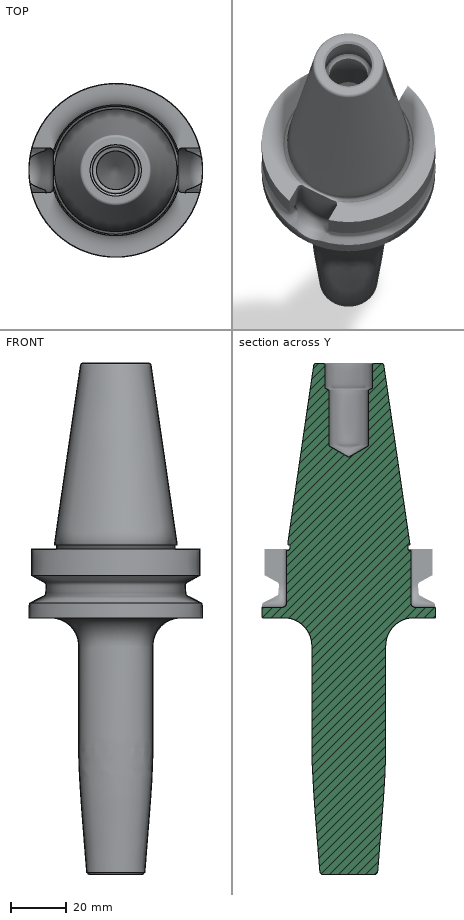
import cadquery as cq
import math


GAUGE_RADIUS = 44.45 / 2
TAPER_LENGTH = 65.4
TAPER_RADIUS_RATE = 7 / 24 / 2
TAPER_END_RADIUS = GAUGE_RADIUS - TAPER_LENGTH * TAPER_RADIUS_RATE
TAPER_END_FILLET = 1.0

RELIEF_RADIUS = 21.5
RELIEF_TOP = -0.6
RELIEF_OUTER_RADIUS = 23.7
RELIEF_DEPTH = 0.5
RELIEF_FILLET = 0.8

FLANGE_RADIUS = 63 / 2
FLANGE_TOP = -2.0
FLANGE_BOTTOM = -27.0
GROOVE_CENTER = -16.6
GROOVE_WIDTH = 10.1
GROOVE_RADIUS = 26.5
GROOVE_FLANK_ANGLE = 30.0
GROOVE_FILLET = 1.0

SLOT_WIDTH = 16.1
SLOT_FLOOR = 22.6
SLOT_CENTER = -15.0
SLOT_FILLET = 1.5

NOSE_RADIUS = 27 / 2
NOSE_FILLET = 10.0
NOSE_BLEND_TOP = -71.0
NOSE_TIP = -120.0
NOSE_TIP_RADIUS = 21 / 2
NOSE_CONE_ANGLE = 4.5
NOSE_TIP_CHAMFER = 0.8

BORE_MOUTH_RADIUS = 9.3
BORE_MOUTH_DEPTH = 0.5
BORE_RADIUS = 8.5
BORE_DEPTH = 9.0
TAP_HOLE_RADIUS = 7.0
TAP_HOLE_DEPTH = 30.0
BORE_CONE_HALF_ANGLE = 60.0


def make_body():
    """Shank, flange and nose as one solid of revolution, without the V groove."""
    cone_slope = math.tan(math.radians(NOSE_CONE_ANGLE))
    blend_slope = math.tan(math.radians(NOSE_CONE_ANGLE / 2))

    blend_length = (
        NOSE_RADIUS - NOSE_TIP_RADIUS - (NOSE_BLEND_TOP - NOSE_TIP) * cone_slope
    ) / (blend_slope - cone_slope)
    blend_bottom = NOSE_BLEND_TOP - blend_length
    blend_bottom_radius = NOSE_RADIUS - blend_length * blend_slope
    chamfer_top_radius = NOSE_TIP_RADIUS + NOSE_TIP_CHAMFER * cone_slope

    relief_floor = FLANGE_TOP - RELIEF_DEPTH
    profile = (
        cq.Workplane("XZ")
        .moveTo(0, TAPER_LENGTH)
        .lineTo(TAPER_END_RADIUS, TAPER_LENGTH)
        .lineTo(GAUGE_RADIUS, 0)
        .lineTo(GAUGE_RADIUS, RELIEF_TOP)
        .lineTo(RELIEF_RADIUS, RELIEF_TOP)
        .lineTo(RELIEF_RADIUS, relief_floor + RELIEF_FILLET)
        .tangentArcPoint((RELIEF_FILLET, -RELIEF_FILLET))
        .lineTo(RELIEF_OUTER_RADIUS - RELIEF_DEPTH, relief_floor)
        .lineTo(RELIEF_OUTER_RADIUS, FLANGE_TOP)
        .lineTo(FLANGE_RADIUS, FLANGE_TOP)
        .lineTo(FLANGE_RADIUS, FLANGE_BOTTOM)
        .lineTo(NOSE_RADIUS + NOSE_FILLET, FLANGE_BOTTOM)
        .tangentArcPoint((-NOSE_FILLET, -NOSE_FILLET))
        .lineTo(NOSE_RADIUS, NOSE_BLEND_TOP)
        .tangentArcPoint((blend_bottom_radius, blend_bottom), relative=False)
        .lineTo(chamfer_top_radius, NOSE_TIP + NOSE_TIP_CHAMFER)
        .lineTo(NOSE_TIP_RADIUS - NOSE_TIP_CHAMFER, NOSE_TIP)
        .lineTo(0, NOSE_TIP)
        .close()
    )
    body = profile.revolve(360, (0, 0), (0, 1))
    return body.faces(">Z").edges().fillet(TAPER_END_FILLET)


def make_groove():
    """Ring cutter for the V groove, its inner edges rounded."""
    flank_height = (FLANGE_RADIUS - GROOVE_RADIUS) * math.tan(math.radians(GROOVE_FLANK_ANGLE))
    half_mouth = GROOVE_WIDTH / 2
    half_root = half_mouth - flank_height
    ring = (
        cq.Workplane("XZ")
        .polyline(
            [
                (GROOVE_RADIUS, GROOVE_CENTER + half_root),
                (FLANGE_RADIUS, GROOVE_CENTER + half_mouth),
                (FLANGE_RADIUS, GROOVE_CENTER - half_mouth),
                (GROOVE_RADIUS, GROOVE_CENTER - half_root),
            ]
        )
        .close()
        .revolve(360, (0, 0), (0, 1))
    )
    root_edges = cq.selectors.RadiusNthSelector(0)
    return ring.edges("%CIRCLE").edges(root_edges).fillet(GROOVE_FILLET)


def make_slot(side):
    """Round-ended drive slot cutter, up to the gauge plane, at +X (side = 1) or -X (side = -1)."""
    half_width = SLOT_WIDTH / 2
    cutter = (
        cq.Workplane("YZ")
        .moveTo(-half_width, 0)
        .lineTo(-half_width, SLOT_CENTER)
        .threePointArc((0, SLOT_CENTER - half_width), (half_width, SLOT_CENTER))
        .lineTo(half_width, 0)
        .close()
        .extrude(FLANGE_RADIUS)
        .translate((SLOT_FLOOR, 0, 0))
    )
    floor_edges = cutter.faces("<X").edges("not >Z")
    cutter = floor_edges.fillet(SLOT_FILLET)
    if side < 0:
        cutter = cutter.mirror("YZ")
    return cutter


def make_bore():
    """Cutter for the stepped pull stud bore with its conical bottom."""
    cone_slope = math.tan(math.radians(BORE_CONE_HALF_ANGLE))
    step_height = (BORE_RADIUS - TAP_HOLE_RADIUS) / cone_slope
    bore_bottom = TAPER_LENGTH - BORE_DEPTH
    tap_hole_bottom = TAPER_LENGTH - TAP_HOLE_DEPTH
    return (
        cq.Workplane("XZ")
        .polyline(
            [
                (0, TAPER_LENGTH),
                (BORE_MOUTH_RADIUS, TAPER_LENGTH),
                (BORE_RADIUS, TAPER_LENGTH - BORE_MOUTH_DEPTH),
                (BORE_RADIUS, bore_bottom),
                (TAP_HOLE_RADIUS, bore_bottom - step_height),
                (TAP_HOLE_RADIUS, tap_hole_bottom),
                (0, tap_hole_bottom - TAP_HOLE_RADIUS / cone_slope),
            ]
        )
        .close()
        .revolve(360, (0, 0), (0, 1))
    )


result = make_body().cut(make_groove()).cut(make_bore())
for side in (1, -1):
    result = result.cut(make_slot(side))